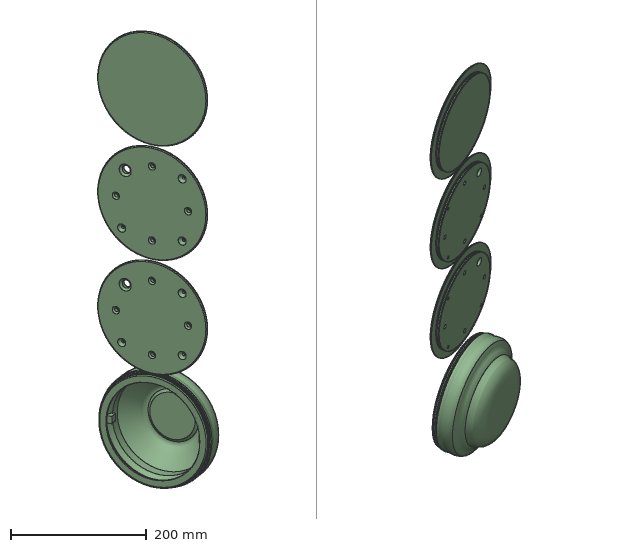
import cadquery as cq
import math

TOTAL_HEIGHT = 739.0
PLATE_COUNT = 3

PLATE_RADIUS = 182.0 / 2
PLATE_FACE_RADIUS = 179.0 / 2
PLATE_CHAMFER = PLATE_RADIUS - PLATE_FACE_RADIUS
FLANGE_THICKNESS = 3.0
FRONT_Y = -FLANGE_THICKNESS
BORE_RADIUS = 156.0 / 2
PLUG_RADIUS = BORE_RADIUS
PLUG_LENGTH = 6.0

PORT_OFFSET = 44.0
PORT_DIAMETER = 13.0
PORT_HEAD_DIAMETER = 20.0
BOLT_CIRCLE_RADIUS = 60.0
BOLT_DIAMETER = 7.0
BOLT_HEAD_DIAMETER = 12.0
SCREW_OFFSET = 50.0
SCREW_DIAMETER = 4.5
SCREW_HEAD_DIAMETER = 13.0
COUNTERSINK_ANGLE = 90

GROOVE_DEPTH = 1.1
NARROW_FLOOR = 2.0
NARROW_WALL = 1.0
NARROW_GROOVE_WIDTH = NARROW_FLOOR + 2 * NARROW_WALL

HOUSING_DEPTH = 70.0
HOUSING_RADIUS = 186.0 / 2
BACK_FLAT_RADIUS = 46.5
DOME_RADIUS = 69.0
DOME_EDGE_Y = 58.0
DOME_BULGE = 3.3
NECK_RADIUS = 72.5
NECK_Y = 46.5
CONE_GROOVE_WIDTH = 19.0
CONE_RADIUS = 91.0
CONE_END_Y = 35.5
RIM_Y = 28.0
RIM_BULGE = 0.5
BODY_GROOVE_Y = 24.5
BODY_GROOVE_WIDTH = 12.5
BODY_CHAMFER_LENGTH = 2.0
BODY_CHAMFER_DEPTH = 1.0
COLLAR_LENGTH = 7.5
COLLAR_RADIUS = 181.0 / 2
COLLAR_GROOVE_Y = 6.0
COLLAR_FACE_RADIUS = 177.0 / 2
COLLAR_CHAMFER_LENGTH = 1.1

LIP_THICKNESS = 3.0
RECESS_RADIUS = 83.0
RECESS_FLOOR_START_Y = 6.0
RECESS_FLOOR_END_Y = 11.0
RECESS_END_Y = 21.0
BORE_END_Y = 36.0
BOWL_RADIUS = 51.0
BOWL_Y = 61.0
BOWL_BULGE = 0.6
FLOOR_RADIUS = 44.0
FLOOR_Y = 66.0
FLOOR_FILLET_BULGE = 0.9
PAD_BASE_RADIUS = 42.0
PAD_RADIUS = 38.0
PAD_Y = 63.0

TAB_INNER_X = 72.5
TAB_FRONT_Y = 8.0
TAB_HEIGHT = 12.0
TAB_ROOT = 1.5

PLATE_PITCH = (TOTAL_HEIGHT - HOUSING_RADIUS - PLATE_RADIUS) / PLATE_COUNT


def revolve_about_y(profile):
    return profile.close().revolve(360, (0, 0, 0), (0, 1, 0))


def add_arc(profile, start, end, bulge):
    """Adds an arc from start, where the profile ends so far, to end.

    It bulges to the left of travel, or to the right if bulge is negative.
    """
    dx, dy = end[0] - start[0], end[1] - start[1]
    shift = bulge / math.hypot(dx, dy)
    middle = ((start[0] + end[0]) / 2 - shift * dy, (start[1] + end[1]) / 2 + shift * dx)
    return profile.threePointArc(middle, end)


def add_rounded_groove(profile, start, direction, width):
    """Adds a groove with rounded shoulders from start along direction, sunk to the right of travel."""
    ux, uy = direction
    shoulder = width / 4
    wall = width / 6
    drop = GROOVE_DEPTH * shoulder / (shoulder + 2 * wall)
    mid_drop = drop / 4

    def at(along, depth):
        return (start[0] + along * ux + depth * uy, start[1] + along * uy - depth * ux)

    return (
        profile.lineTo(*start)
        .threePointArc(at(shoulder / 2, mid_drop), at(shoulder, drop))
        .lineTo(*at(shoulder + wall, GROOVE_DEPTH))
        .lineTo(*at(width - shoulder - wall, GROOVE_DEPTH))
        .lineTo(*at(width - shoulder, drop))
        .threePointArc(at(width - shoulder / 2, mid_drop), at(width, 0))
    )


def add_narrow_groove(profile, radius, start_y):
    """Adds a groove with plain sloped walls to a cylinder, going toward -Y from start_y."""
    floor_radius = radius - GROOVE_DEPTH
    return (
        profile.lineTo(radius, start_y)
        .lineTo(floor_radius, start_y - NARROW_WALL)
        .lineTo(floor_radius, start_y - NARROW_WALL - NARROW_FLOOR)
        .lineTo(radius, start_y - NARROW_GROOVE_WIDTH)
    )


def add_housing_back(profile):
    """Domed back, neck and grooved cone."""
    profile = profile.lineTo(BACK_FLAT_RADIUS, HOUSING_DEPTH)
    profile = add_arc(profile, (BACK_FLAT_RADIUS, HOUSING_DEPTH), (DOME_RADIUS, DOME_EDGE_Y), DOME_BULGE)
    dx, dy = CONE_RADIUS - NECK_RADIUS, CONE_END_Y - NECK_Y
    cone_length = math.hypot(dx, dy)
    along_cone = (dx / cone_length, dy / cone_length)
    margin = (cone_length - CONE_GROOVE_WIDTH) / 2
    groove_start = (NECK_RADIUS + margin * along_cone[0], NECK_Y + margin * along_cone[1])
    profile = profile.lineTo(NECK_RADIUS, NECK_Y)
    profile = add_rounded_groove(profile, groove_start, along_cone, CONE_GROOVE_WIDTH)
    return profile.lineTo(CONE_RADIUS, CONE_END_Y)


def add_housing_side(profile):
    """Rounded rim, grooved body and grooved front collar."""
    profile = add_arc(profile, (CONE_RADIUS, CONE_END_Y), (HOUSING_RADIUS, RIM_Y), RIM_BULGE)
    profile = add_rounded_groove(profile, (HOUSING_RADIUS, BODY_GROOVE_Y), (0, -1), BODY_GROOVE_WIDTH)
    profile = (
        profile.lineTo(HOUSING_RADIUS, COLLAR_LENGTH + BODY_CHAMFER_LENGTH)
        .lineTo(HOUSING_RADIUS - BODY_CHAMFER_DEPTH, COLLAR_LENGTH)
        .lineTo(COLLAR_RADIUS, COLLAR_LENGTH)
    )
    profile = add_narrow_groove(profile, COLLAR_RADIUS, COLLAR_GROOVE_Y)
    return profile.lineTo(COLLAR_RADIUS, COLLAR_CHAMFER_LENGTH).lineTo(COLLAR_FACE_RADIUS, 0)


def add_housing_cavity(profile):
    """Bore with its slope-sided recess, bowl and floor with a raised pad."""
    profile = (
        profile.lineTo(BORE_RADIUS, 0)
        .lineTo(BORE_RADIUS, LIP_THICKNESS)
        .lineTo(RECESS_RADIUS, RECESS_FLOOR_START_Y)
        .lineTo(RECESS_RADIUS, RECESS_FLOOR_END_Y)
        .lineTo(BORE_RADIUS, RECESS_END_Y)
        .lineTo(BORE_RADIUS, BORE_END_Y)
    )
    profile = add_arc(profile, (BORE_RADIUS, BORE_END_Y), (BOWL_RADIUS, BOWL_Y), BOWL_BULGE)
    profile = add_arc(profile, (BOWL_RADIUS, BOWL_Y), (FLOOR_RADIUS, FLOOR_Y), -FLOOR_FILLET_BULGE)
    return profile.lineTo(PAD_BASE_RADIUS, FLOOR_Y).lineTo(PAD_RADIUS, PAD_Y).lineTo(0, PAD_Y)


def make_tab(side):
    """A block on the +X (side = 1) or -X (side = -1) wall of the recess."""
    outer_x = RECESS_RADIUS + TAB_ROOT
    block = cq.Workplane("XY").box(outer_x - TAB_INNER_X, RECESS_END_Y - TAB_FRONT_Y, TAB_HEIGHT)
    return block.translate((side * (outer_x + TAB_INNER_X) / 2, (RECESS_END_Y + TAB_FRONT_Y) / 2, 0))


def make_housing():
    profile = cq.Workplane("XY").moveTo(0, HOUSING_DEPTH)
    profile = add_housing_back(profile)
    profile = add_housing_side(profile)
    profile = add_housing_cavity(profile)
    body = revolve_about_y(profile)
    for side in (-1, 1):
        body = body.union(make_tab(side))
    return body


def make_blank_plate():
    profile = cq.Workplane("XY").moveTo(0, PLUG_LENGTH).lineTo(PLUG_RADIUS, PLUG_LENGTH)
    profile = add_narrow_groove(profile, PLUG_RADIUS, (PLUG_LENGTH + NARROW_GROOVE_WIDTH) / 2)
    profile = (
        profile.lineTo(PLUG_RADIUS, 0)
        .lineTo(PLATE_RADIUS, 0)
        .lineTo(PLATE_RADIUS, FRONT_Y + PLATE_CHAMFER)
        .lineTo(PLATE_FACE_RADIUS, FRONT_Y)
        .lineTo(0, FRONT_Y)
    )
    return revolve_about_y(profile)


def countersink(plate, centers, diameter, head_diameter):
    face = plate.faces("<Y").workplane(origin=(0, FRONT_Y, 0))
    return face.pushPoints(centers).cskHole(diameter, head_diameter, COUNTERSINK_ANGLE)


def make_drilled_plate():
    r, s = BOLT_CIRCLE_RADIUS, SCREW_OFFSET
    port_center = [(-PORT_OFFSET, PORT_OFFSET)]
    bolt_centers = [(r, 0), (0, r), (-r, 0), (0, -r)]
    screw_centers = [(s, s), (s, -s), (-s, -s)]
    plate = make_blank_plate()
    plate = countersink(plate, port_center, PORT_DIAMETER, PORT_HEAD_DIAMETER)
    plate = countersink(plate, bolt_centers, BOLT_DIAMETER, BOLT_HEAD_DIAMETER)
    return countersink(plate, screw_centers, SCREW_DIAMETER, SCREW_HEAD_DIAMETER)


housing = make_housing()

drilled_plates = []
for level in range(1, PLATE_COUNT):
    drilled_plates.append(make_drilled_plate().translate((0, 0, level * PLATE_PITCH)).val())
blank_plate = make_blank_plate().translate((0, 0, PLATE_COUNT * PLATE_PITCH))

result = cq.Compound.makeCompound([housing.val(), *drilled_plates, blank_plate.val()])